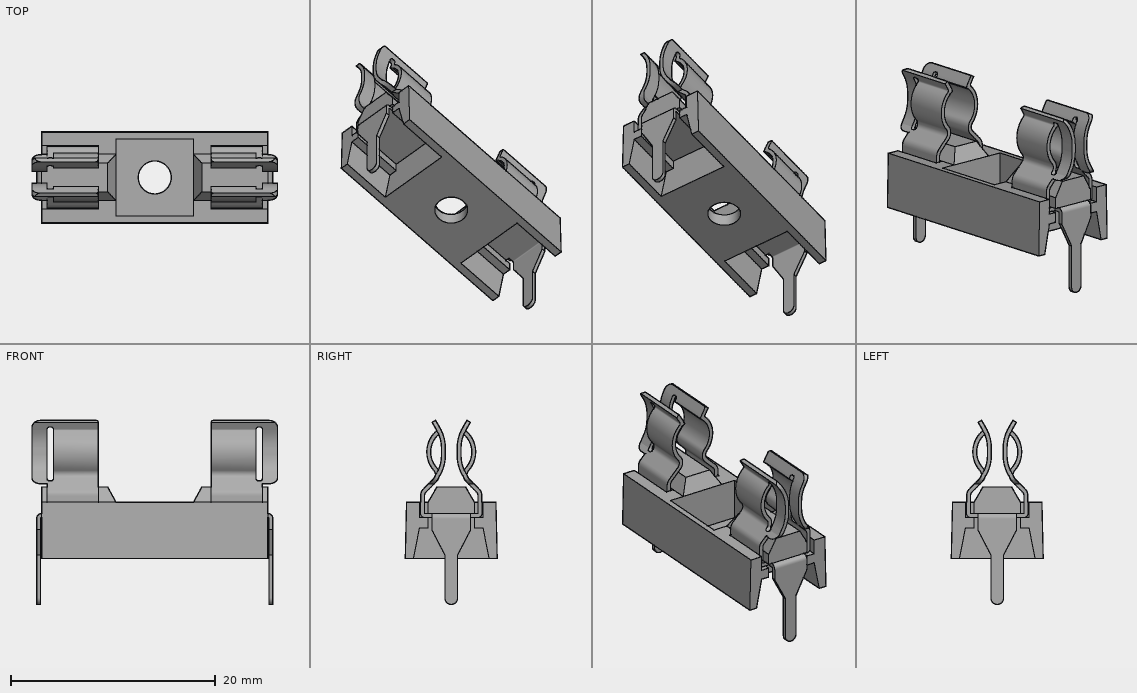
import cadquery as cq
import math


BASE_LENGTH = 22.08
BASE_HEIGHT = 5.5
BASE_BOTTOM_WIDTH = 9.0
BASE_TOP_WIDTH = 8.75
POCKET_SIZE = 7.55
POCKET_FLOOR = 1.4
SCREW_HOLE_DIAMETER = 3.2

GROOVE_WIDTH = 6.2
LEDGE_TOP = 4.0
LEDGE_BOTTOM = 3.0
CHANNEL_BOTTOM_WIDTH = 7.4
BLOCK_WIDTH = 4.54
BLOCK_TOP_WIDTH = 2.8
BLOCK_TOP = 7.0
BLOCK_SLOPE_RUN = 0.82

SHEET = 0.4
HALF_SHEET = SHEET / 2
CLIP_LENGTH = 5.0
CLIP_INNER_X = -5.5
CLIP_OUTER_X = CLIP_INNER_X - CLIP_LENGTH
GUIDE_TIP_X = -12.0
CLIP_WIDTH = 6.0
WALL_TOP = 5.7
PLATE_TOP = LEDGE_TOP + SHEET

CLIP_TOP = 13.5
FUSE_AXIS_Y = -0.3
FUSE_AXIS_Z = 10.4
BULGE_RADIUS = 2.5
NECK_RADIUS = 0.78
LIP_RADIUS = 0.36
SHOULDER_RADIUS = 0.75
NECK_ANGLE = math.radians(42)
LIP_ANGLE = math.radians(48)
SLOPE_ANGLE = math.radians(45)
LIP_LEAN = math.radians(30)

GUIDE_RADIUS = 3.65
GUIDE_STRAIGHT_TOP = 10.8
GUIDE_STRAIGHT_BOTTOM = 10.05
GUIDE_BOTTOM = 7.29
GUIDE_CORNER = 0.85
LIP_END_CORNER = 0.25
SLOT_WIDTH = 0.6
SLOT_BOTTOM = 7.6
SLOT_TOP = 12.83
SLOT_CORNER = 0.2

PIN_OUTER_X = -11.54
PIN_BEND_RADIUS = 0.5
TAB_WIDTH = 3.8
PIN_WIDTH = 1.25
TAPER_TOP = 2.82
TAPER_BOTTOM = 0.35
PIN_BOTTOM = -4.5

TOUCHING = 1e-6


def box(x0, x1, y0, y1, z0, z1):
    return cq.Workplane("XY").box(x1 - x0, y1 - y0, z1 - z0, centered=False).translate((x0, y0, z0))


def yz_sketch(x):
    """Workplane at the given X whose local axes are Y and Z and which extrudes toward +X."""
    return cq.Workplane("YZ", origin=(x, 0, 0))


def polar(centre, radius, angle):
    """Point at an angle measured from +Y toward +Z."""
    return (centre[0] + radius * math.cos(angle), centre[1] + radius * math.sin(angle))


def arc_points(centre, radius, start, end):
    return [polar(centre, radius, a) for a in (start, (start + end) / 2, end)]


def strip(side_a, side_b, x0, x1):
    """Sheet between two side curves; each is a list of arcs (3 points) and points (1 point)."""
    end = side_a[0][0]
    sketch = yz_sketch(x0).moveTo(*end)
    reverse_b = [piece[::-1] for piece in reversed(side_b)]
    for piece in side_a + reverse_b:
        if math.dist(end, piece[0]) > TOUCHING:
            sketch = sketch.lineTo(*piece[0])
        if len(piece) > 1:
            sketch = sketch.threePointArc(piece[1], piece[2])
        end = piece[-1]
    return sketch.close().extrude(x1 - x0)


FUSE_AXIS = (FUSE_AXIS_Y, FUSE_AXIS_Z)
NECK_CENTRE = polar(FUSE_AXIS, BULGE_RADIUS + NECK_RADIUS, -NECK_ANGLE)
LIP_CENTRE = polar(FUSE_AXIS, BULGE_RADIUS + LIP_RADIUS, LIP_ANGLE)
LIP_NORMAL = math.pi - LIP_LEAN
SLOPE_NORMAL = math.pi + SLOPE_ANGLE

SHOULDER_Y = CLIP_WIDTH / 2 - HALF_SHEET - SHOULDER_RADIUS
NECK_END = polar(NECK_CENTRE, NECK_RADIUS, SLOPE_NORMAL)
SLOPE_END_Y = SHOULDER_Y + SHOULDER_RADIUS * math.cos(SLOPE_ANGLE)
SLOPE_END_Z = NECK_END[1] - (SLOPE_END_Y - NECK_END[0]) / math.tan(SLOPE_ANGLE)
SHOULDER_CENTRE = (SHOULDER_Y, SLOPE_END_Z - SHOULDER_RADIUS * math.sin(SLOPE_ANGLE))

LIP_START = polar(LIP_CENTRE, LIP_RADIUS, LIP_NORMAL)
LIP_TIP_Z = CLIP_TOP - HALF_SHEET * math.sin(LIP_LEAN)
LIP_TIP = (LIP_START[0] + (LIP_TIP_Z - LIP_START[1]) * math.tan(LIP_LEAN), LIP_TIP_Z)

GUIDE_TOUCH_Z = GUIDE_STRAIGHT_TOP + GUIDE_RADIUS * math.sin(LIP_LEAN)
GUIDE_TOUCH_Y = LIP_START[0] + (GUIDE_TOUCH_Z - LIP_START[1]) * math.tan(LIP_LEAN)
GUIDE_CENTRE_Y = GUIDE_TOUCH_Y + GUIDE_RADIUS * math.cos(LIP_LEAN)
GUIDE_UPPER_CENTRE = (GUIDE_CENTRE_Y, GUIDE_STRAIGHT_TOP)
GUIDE_LOWER_CENTRE = (GUIDE_CENTRE_Y, GUIDE_STRAIGHT_BOTTOM)

LEAN_START = polar(GUIDE_LOWER_CENTRE, GUIDE_RADIUS, math.pi + LIP_LEAN)
LEAN_START_GAP = (SLOPE_END_Y - LEAN_START[0]) - (LEAN_START[1] - SLOPE_END_Z) * math.tan(SLOPE_ANGLE)
GUIDE_BEND_DROP = LEAN_START_GAP / (math.tan(LIP_LEAN) - math.tan(SLOPE_ANGLE))
GUIDE_BEND = (LEAN_START[0] + GUIDE_BEND_DROP * math.tan(LIP_LEAN), LEAN_START[1] - GUIDE_BEND_DROP)
GUIDE_BEND_NORMAL = (LIP_LEAN + SLOPE_ANGLE) / 2
GUIDE_MITRE = 1 / math.cos((SLOPE_ANGLE - LIP_LEAN) / 2)


def leaf_side(offset):
    """One face of the leaf from wall to lip tip; a positive offset is the outer face."""
    return [
        [(CLIP_WIDTH / 2 - HALF_SHEET + offset, WALL_TOP)],
        arc_points(SHOULDER_CENTRE, SHOULDER_RADIUS + offset, 0, SLOPE_ANGLE),
        arc_points(NECK_CENTRE, NECK_RADIUS - offset, SLOPE_NORMAL, math.pi - NECK_ANGLE),
        arc_points(FUSE_AXIS, BULGE_RADIUS + offset, -NECK_ANGLE, LIP_ANGLE),
        arc_points(LIP_CENTRE, LIP_RADIUS - offset, math.pi + LIP_ANGLE, LIP_NORMAL),
        [polar(LIP_TIP, -offset, LIP_NORMAL)],
    ]


def guide_side(offset):
    """One face of the end guide from the slope to the lip tip; a positive offset is the outer face."""
    return [
        [polar((SLOPE_END_Y, SLOPE_END_Z), offset, SLOPE_ANGLE)],
        [polar(GUIDE_BEND, offset * GUIDE_MITRE, GUIDE_BEND_NORMAL)],
        arc_points(GUIDE_LOWER_CENTRE, GUIDE_RADIUS - offset, math.pi + LIP_LEAN, math.pi),
        arc_points(GUIDE_UPPER_CENTRE, GUIDE_RADIUS - offset, math.pi, LIP_NORMAL),
        [polar(LIP_TIP, -offset, LIP_NORMAL)],
    ]


def corner_cutter(x, z, inward_x, inward_z, radius, lean):
    """Waste outside a sheet corner rounded by the radius, for a sheet leaning by the given angle."""
    height = radius * math.cos(lean)
    centre = (x + inward_x * radius, 0, z + inward_z * height)
    waste = cq.Workplane("XY").box(radius, CLIP_WIDTH, height)
    waste = waste.translate(((x + centre[0]) / 2, 0, (z + centre[2]) / 2))
    round_bar = cq.Workplane("XZ", origin=centre).ellipse(radius, height).extrude(CLIP_WIDTH, both=True)
    return waste.cut(round_bar)


def make_lip_edge():
    """Continues the guide profile along the grip until it meets the inside of the bulge in a sharp edge."""
    edge = strip(guide_side(-HALF_SHEET), guide_side(HALF_SHEET), CLIP_OUTER_X, CLIP_INNER_X)
    fuse_radius = BULGE_RADIUS - HALF_SHEET
    fuse_space = yz_sketch(CLIP_OUTER_X).center(*FUSE_AXIS).circle(fuse_radius).extrude(CLIP_LENGTH)
    lower_half = box(CLIP_OUTER_X, CLIP_INNER_X, 0, CLIP_WIDTH, WALL_TOP, FUSE_AXIS_Z)
    return edge.cut(fuse_space).cut(lower_half)


def make_leaf():
    slot = box(CLIP_OUTER_X, CLIP_OUTER_X + SLOT_WIDTH, 0, CLIP_WIDTH, SLOT_BOTTOM, SLOT_TOP)
    slot = slot.edges("|Y").fillet(SLOT_CORNER)
    grip = strip(leaf_side(-HALF_SHEET), leaf_side(HALF_SHEET), CLIP_OUTER_X, CLIP_INNER_X)
    guide = strip(guide_side(-HALF_SHEET), guide_side(HALF_SHEET), GUIDE_TIP_X, CLIP_OUTER_X)
    below_guide = box(GUIDE_TIP_X, CLIP_OUTER_X, 0, CLIP_WIDTH, WALL_TOP, GUIDE_BOTTOM)
    guide = guide.cut(below_guide)
    leaf = grip.union(make_lip_edge()).cut(slot).union(guide)
    leaf = leaf.cut(corner_cutter(GUIDE_TIP_X, CLIP_TOP, 1, -1, GUIDE_CORNER, LIP_LEAN))
    leaf = leaf.cut(corner_cutter(GUIDE_TIP_X, GUIDE_BOTTOM, 1, 1, GUIDE_CORNER, SLOPE_ANGLE))
    return leaf.cut(corner_cutter(CLIP_INNER_X, CLIP_TOP, -1, -1, LIP_END_CORNER, LIP_LEAN))


def make_foot():
    """U-shaped channel at the bottom of the clip, with rounded outer bottom edges."""
    half = CLIP_WIDTH / 2
    inner = half - SHEET
    foot = box(CLIP_OUTER_X, CLIP_INNER_X, -half, half, LEDGE_TOP, WALL_TOP)
    foot = foot.edges("|X and <Z").fillet(SHEET)
    return foot.cut(box(CLIP_OUTER_X, CLIP_INNER_X, -inner, inner, PLATE_TOP, WALL_TOP))


def make_pin():
    """Tab that bends down over the end of the base and tapers to a round-ended pin."""
    half_tab = TAB_WIDTH / 2
    half_pin = PIN_WIDTH / 2
    inner_x = PIN_OUTER_X + SHEET
    tab = box(PIN_OUTER_X, CLIP_OUTER_X, -half_tab, half_tab, PIN_BOTTOM, PLATE_TOP)
    tab = tab.edges("|Y and <X and >Z").fillet(PIN_BEND_RADIUS)
    under = box(inner_x, CLIP_OUTER_X, -half_tab, half_tab, PIN_BOTTOM, LEDGE_TOP)
    tab = tab.cut(under.edges("|Y and <X and >Z").fillet(PIN_BEND_RADIUS - SHEET))
    outline = (
        yz_sketch(PIN_OUTER_X)
        .moveTo(half_tab, PLATE_TOP)
        .lineTo(half_tab, TAPER_TOP)
        .lineTo(half_pin, TAPER_BOTTOM)
        .lineTo(half_pin, PIN_BOTTOM + half_pin)
        .threePointArc((0, PIN_BOTTOM), (-half_pin, PIN_BOTTOM + half_pin))
        .lineTo(-half_pin, TAPER_BOTTOM)
        .lineTo(-half_tab, TAPER_TOP)
        .lineTo(-half_tab, PLATE_TOP)
        .close()
        .extrude(CLIP_OUTER_X - PIN_OUTER_X)
    )
    return tab.intersect(outline)


def trapezoid(x0, x1, bottom_width, top_width, z0, z1):
    """Bar along X whose width changes evenly from z0 to z1."""
    corners = [
        (-bottom_width / 2, z0),
        (bottom_width / 2, z0),
        (top_width / 2, z1),
        (-top_width / 2, z1),
    ]
    return yz_sketch(x0).polyline(corners).close().extrude(x1 - x0)


def make_end_channel():
    """Space at the -X end: clip groove above the ledges, gap between them, open channel below."""
    x0 = -BASE_LENGTH / 2
    x1 = CLIP_INNER_X
    groove = box(x0, x1, -GROOVE_WIDTH / 2, GROOVE_WIDTH / 2, LEDGE_TOP, BASE_HEIGHT)
    gap = box(x0, x1, -BLOCK_WIDTH / 2, BLOCK_WIDTH / 2, LEDGE_BOTTOM, LEDGE_TOP)
    channel = trapezoid(x0, x1, CHANNEL_BOTTOM_WIDTH, GROOVE_WIDTH, 0, LEDGE_BOTTOM)
    return groove.union(gap).union(channel)


def make_block():
    """Block over the clip plate, its top sloping down at both sides and toward the pocket."""
    x0 = -BASE_LENGTH / 2
    x1 = -POCKET_SIZE / 2
    lower = box(x0, x1, -BLOCK_WIDTH / 2, BLOCK_WIDTH / 2, PLATE_TOP, BASE_HEIGHT)
    upper = trapezoid(x0, x1, BLOCK_WIDTH, BLOCK_TOP_WIDTH, BASE_HEIGHT, BLOCK_TOP)
    slope_waste = (
        cq.Workplane("XZ")
        .polyline([(x1, BASE_HEIGHT), (x1, BLOCK_TOP), (x1 - BLOCK_SLOPE_RUN, BLOCK_TOP)])
        .close()
        .extrude(BLOCK_WIDTH, both=True)
    )
    return lower.union(upper.cut(slope_waste))


def both_ends(body):
    return body.union(body.mirror("YZ"))


def make_base():
    half_length = BASE_LENGTH / 2
    half_pocket = POCKET_SIZE / 2
    base = trapezoid(-half_length, half_length, BASE_BOTTOM_WIDTH, BASE_TOP_WIDTH, 0, BASE_HEIGHT)
    base = base.cut(both_ends(make_end_channel())).union(both_ends(make_block()))
    pocket = box(-half_pocket, half_pocket, -half_pocket, half_pocket, POCKET_FLOOR, BASE_HEIGHT)
    screw_hole = cq.Workplane("XY").circle(SCREW_HOLE_DIAMETER / 2).extrude(BASE_HEIGHT)
    return base.cut(pocket).cut(screw_hole)


def make_clip():
    leaf = make_leaf()
    return make_foot().union(make_pin()).union(leaf).union(leaf.mirror("XZ"))


result = make_base().union(both_ends(make_clip()))